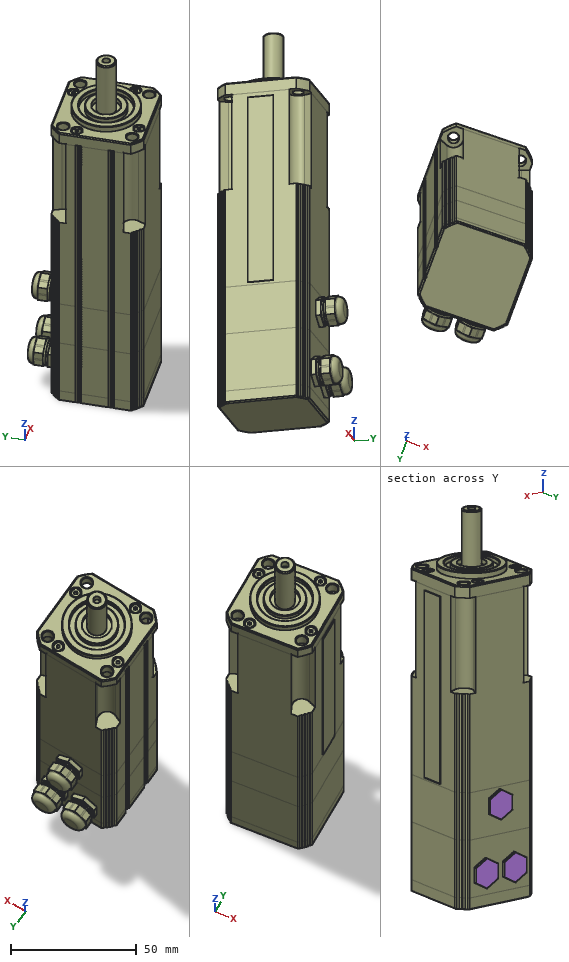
import cadquery as cq
import math

side = 38.0
half = side / 2
corner_radius = 24.0
corner_angle = 45.0
section_joints = [0.0, 5.2, 29.3, 49.0, 130.0]
base_chamfer_height = 0.8
base_chamfer_inset = 0.5

flange_bottom = section_joints[-1]
flange_top = 135.0
pilot_top = 137.5
shaft_top = 160.0
edge_chamfer = 0.5
pilot_chamfer = 0.3
pilot_radius = 14.0
shaft_radius = 4.0
ring_recess_radius = 11.0
seal_radius = 8.6
shaft_gap_radius = 6.0
recess_depth = 2.0
recess_chamfer = 0.3
hole_chamfer_angle = 45.0
center_hole_radius = 1.5
center_hole_depth = 3.0
drill_tip_angle = 118.0

mount_pitch_radius = 20.0
mount_hole_radius = 2.25
mount_hole_chamfer = 0.35
slot_bottom = 90.0
slot_radius = 4.0
slot_flank_angle = 22.0

screw_pitch_radius = 17.5
screw_start_angle = 62.0
counterbore_radius = 2.35
screw_head_radius = 1.9
counterbore_depth = 1.0
socket_radius = 0.75
socket_depth = 0.8
head_below_flange = 0.3

wide_groove_offset = 1.7
wide_groove_width = 0.96
narrow_groove_width = wide_groove_width / 2
corner_grooves = [
    (-wide_groove_offset, wide_groove_width),
    (0.0, narrow_groove_width),
    (wide_groove_offset, wide_groove_width),
]
corner_groove_depth = 0.3

side_groove_offset = 6.75
side_groove_width = 2.4
side_groove_depth = 0.5
side_slit_width = 0.7
side_slit_depth = 1.0

plate_thickness = 0.5
plate_width = 10.5
plate_bottom = 50.0
plate_top = 128.0

upper_gland_z = 41.6
lower_gland_z = 14.2
lower_gland_x = 7.0
gland_places = [(0.0, upper_gland_z), (-lower_gland_x, lower_gland_z), (lower_gland_x, lower_gland_z)]
hex_across_flats = 11.0
hex_across_corners = hex_across_flats / math.cos(math.pi / 6)
gland_base_length = 2.0
gland_neck_end = 2.95
gland_nut_start = 3.9
gland_nut_end = 7.8
gland_length = 10.7
gland_neck_radius = 5.1
cap_stand_out = 0.01
gland_cap_radius = hex_across_flats / 2 + cap_stand_out
gland_dome_radius = 2.4


def disc(radius, bottom, top):
    """A cylinder on the Z axis between two heights."""
    return cq.Workplane("XY").workplane(offset=bottom).circle(radius).extrude(top - bottom)


def block(x_size, y_size, bottom, top):
    """A rectangular bar centred on the Z axis between two heights."""
    return cq.Workplane("XY").workplane(offset=bottom).rect(x_size, y_size).extrude(top - bottom)


def rounded_square(bottom, top):
    """The square bar whose corners are turned to corner_radius."""
    return block(side, side, bottom, top).intersect(disc(corner_radius, bottom, top))


def around_axis(shape, start_angle):
    """Four copies of a shape, a quarter turn apart about the Z axis."""
    copies = cq.Workplane("XY")
    for turn in range(4):
        copies = copies.add(shape.rotate((0, 0, 0), (0, 0, 1), start_angle + 90 * turn))
    return copies.combine()


def base_section(bottom, top):
    """The lowest housing section, with its bottom edge chamfered all round."""
    return rounded_square(bottom, top).faces("<Z").chamfer(base_chamfer_height, base_chamfer_inset)


def corner_groove_cutter():
    """The lengthwise grooves of one corner, placed on the +X axis."""
    cutter = cq.Workplane("XY")
    for offset, width in corner_grooves:
        groove = block(2 * corner_groove_depth, width, 0, flange_bottom)
        cutter = cutter.add(groove.translate((corner_radius, offset, 0)))
    return cutter.combine()


def slot_cutter():
    """The open slot of one corner, placed on the +X axis: a round end and two flaring flanks."""
    angle = math.radians(slot_flank_angle)
    tangent_x = mount_pitch_radius - slot_radius * math.sin(angle)
    tangent_y = slot_radius * math.cos(angle)
    mouth_x = half * math.sqrt(2)
    mouth_y = tangent_y + (mouth_x - tangent_x) * math.tan(angle)
    return (
        cq.Workplane("XY")
        .workplane(offset=slot_bottom)
        .moveTo(mouth_x, mouth_y)
        .lineTo(tangent_x, tangent_y)
        .threePointArc((mount_pitch_radius - slot_radius, 0), (tangent_x, -tangent_y))
        .lineTo(mouth_x, -mouth_y)
        .close()
        .extrude(flange_bottom - slot_bottom)
    )


def side_groove_cutter():
    """Both stepped grooves of the -X side."""
    cutter = cq.Workplane("XY")
    for y in (-side_groove_offset, side_groove_offset):
        step = block(2 * side_groove_depth, side_groove_width, 0, flange_bottom)
        slit = block(2 * side_slit_depth, side_slit_width, 0, flange_bottom)
        cutter = cutter.add(step.union(slit).translate((-half, y, 0)))
    return cutter.combine()


def housing():
    """The stacked and grooved sections, joined into one body whose joints remain as edges."""
    body = base_section(section_joints[0], section_joints[1])
    for bottom, top in zip(section_joints[1:], section_joints[2:]):
        body = body.union(rounded_square(bottom, top), clean=False)
    body = body.cut(around_axis(corner_groove_cutter(), corner_angle), clean=False)
    body = body.cut(around_axis(slot_cutter(), corner_angle), clean=False)
    return body.cut(side_groove_cutter(), clean=False)


def chamfered_mouth(radius, chamfer, top):
    """The cone that chamfers the mouth of a hole opening upward at the given height."""
    rim = cq.Workplane("XY").workplane(offset=top).circle(radius + chamfer)
    return rim.extrude(-chamfer, taper=hole_chamfer_angle)


def mount_hole_cutter():
    """One through hole with a chamfered mouth, placed on the +X axis."""
    hole = disc(mount_hole_radius, flange_bottom, flange_top)
    mouth = chamfered_mouth(mount_hole_radius, mount_hole_chamfer, flange_top)
    return hole.union(mouth).translate((mount_pitch_radius, 0, 0))


def center_hole_cutter():
    """The hole in the shaft end, with a conical drill tip."""
    hole_bottom = shaft_top - center_hole_depth
    tip_length = center_hole_radius / math.tan(math.radians(drill_tip_angle / 2))
    return (
        cq.Workplane("XZ")
        .moveTo(0, shaft_top)
        .lineTo(center_hole_radius, shaft_top)
        .lineTo(center_hole_radius, hole_bottom)
        .lineTo(0, hole_bottom - tip_length)
        .close()
        .revolve(360, (0, 0, 0), (0, 1, 0))
    )


def screw_cutter():
    """The counterbore around one screw head and the hexagon socket in it, placed on the +X axis."""
    head_top = flange_top - head_below_flange
    counterbore = disc(counterbore_radius, flange_top - counterbore_depth, flange_top)
    counterbore = counterbore.cut(disc(screw_head_radius, flange_top - counterbore_depth, head_top))
    socket = (
        cq.Workplane("XY")
        .workplane(offset=head_top)
        .polygon(6, 2 * socket_radius)
        .extrude(-socket_depth)
    )
    return counterbore.union(socket).translate((screw_pitch_radius, 0, 0))


def flange():
    """The square flange with its pilot, seal ring and shaft."""
    plate = rounded_square(flange_bottom, flange_top).faces(">Z").chamfer(edge_chamfer)
    pilot = disc(pilot_radius, flange_top, pilot_top).faces(">Z").chamfer(pilot_chamfer)
    recess_floor = pilot_top - recess_depth
    recess = disc(ring_recess_radius, recess_floor, pilot_top)
    recess = recess.union(chamfered_mouth(ring_recess_radius, recess_chamfer, pilot_top))
    seal = disc(seal_radius, recess_floor, pilot_top).faces(">Z").chamfer(recess_chamfer)
    seal = seal.cut(disc(shaft_gap_radius, recess_floor, pilot_top))
    shaft = disc(shaft_radius, recess_floor, shaft_top).faces(">Z").chamfer(edge_chamfer)
    front = plate.union(pilot).cut(recess).union(seal).union(shaft).cut(center_hole_cutter())
    front = front.cut(around_axis(mount_hole_cutter(), corner_angle))
    return front.cut(around_axis(screw_cutter(), screw_start_angle))


def name_plate():
    """The thin plate on the +X side."""
    plate = block(2 * plate_thickness, plate_width, plate_bottom, plate_top)
    return plate.translate((half, 0, 0))


def gland():
    """One cable gland standing on the XY plane, with hexagon corners toward +Y and -Y."""

    def hexagon(bottom, top):
        profile = cq.Workplane("XY").workplane(offset=bottom).polygon(6, hex_across_corners)
        return profile.extrude(top - bottom).rotate((0, 0, 0), (0, 0, 1), 90)

    cap = disc(gland_cap_radius, gland_neck_end, gland_length).faces(">Z").edges().fillet(gland_dome_radius)
    neck = disc(gland_neck_radius, gland_base_length, gland_neck_end)
    nut = hexagon(gland_nut_start, gland_nut_end)
    return hexagon(0, gland_base_length).union(neck).union(cap).union(nut)


result = housing().union(flange(), clean=False).union(name_plate(), clean=False)
for gland_x, gland_z in gland_places:
    standing_gland = gland().rotate((0, 0, 0), (1, 0, 0), -90)
    result = result.union(standing_gland.translate((gland_x, half, gland_z)), clean=False)